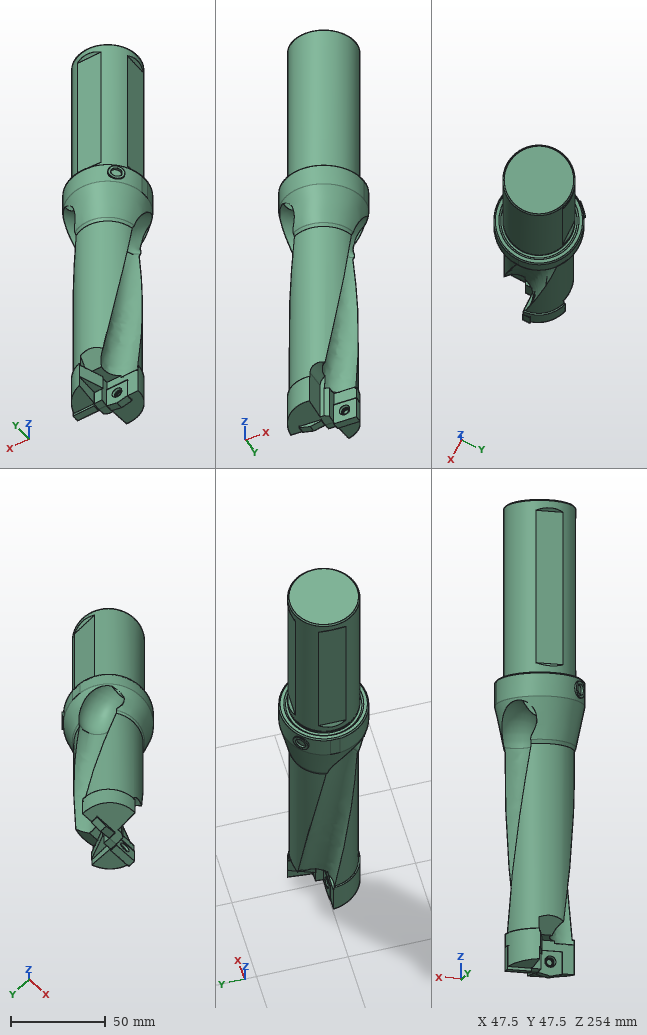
import cadquery as cq
import math

OVERALL_LENGTH = 254.0
CUT_MARGIN = 2.5

SHANK_RADIUS = 19.0
SHANK_CHAMFER = 0.8
FLAT_WIDTH = 15.0
FLAT_BOTTOM = 165.0
FLAT_TOP = 247.9
FLAT_DISTANCE = math.sqrt(SHANK_RADIUS**2 - (FLAT_WIDTH / 2) ** 2)
FLAT_DEPTH = SHANK_RADIUS - FLAT_DISTANCE

COLLAR_DIAMETER = 47.5
COLLAR_RADIUS = COLLAR_DIAMETER / 2
COLLAR_BOTTOM = 145.8
COLLAR_TOP = 159.0
COLLAR_CHAMFER = 0.8
GROOVE_RADIUS = 21.0
GROOVE_DEPTH = 1.0
NECK_RADIUS = 18.5
NECK_TOP = 159.7
MARK_WIDTH = 5.3
MARK_DISTANCE = math.sqrt(COLLAR_RADIUS**2 - (MARK_WIDTH / 2) ** 2)

FLUTED_RADIUS = 18.3
HEAD_DIAMETER = 38.3
HEAD_RADIUS = HEAD_DIAMETER / 2
HEAD_TOP = 20.8
CONE_RADIUS = 19.0
CONE_BOTTOM = 123.5
CONE_FOOT = 121.5
ROOF_RIDGE = 1.8
ROOF_SLOPE = 0.13

FLUTE_DIAMETER = 21.0
FLUTE_RADIUS = FLUTE_DIAMETER / 2
FLUTE_CENTRE = 16.3
FLUTE_TOP = 123.2
FLUTE_TOP_ANGLE = 205.0
TWIST_RATE = 0.5513
RUNOUT_BEND = 10.7
RUNOUT_SWING = 48.0

INSERT_THICKNESS = 4.3
INSERT_TOP = 13.7
INSERT_PROUD = 0.3
OUTER_INSERT_LEFT = 5.8
OUTER_INSERT_BOTTOM = 0.8
INNER_INSERT_LEFT = -12.5
INNER_INSERT_POINT = -5.8
INNER_INSERT_CORNER = 1.5

OUTER_POCKET_TOP = 21.3
OUTER_WALL_RIM = 1.0
OUTER_WALL_FOOT = 3.3
LEDGE_RIM_DEPTH = 6.3
LEDGE_FOOT_DEPTH = 5.0
GULLET_TOP = 30.0
GULLET_CORNER = 6.0

INNER_WALL = 0.0
INNER_POCKET_TOP = 19.3
INNER_WALL_RIM = 5.5
INNER_STEP_HEIGHT = 10.7
INNER_RELIEF_DEPTH = 0.8
INNER_RELIEF_TOP_Y = 4.3
INNER_CEILING_START_Y = 11.0
INNER_CEILING_SLOPE = 1.2

INNER_FLUTE = (FLUTE_TOP_ANGLE, 18.0)
OUTER_FLUTE = (FLUTE_TOP_ANGLE + 180.0, OUTER_POCKET_TOP)

SCREW_HOLE_DIAMETER = 6.0
SCREW_HEAD_DIAMETER = 4.8
SCREW_SHANK_DIAMETER = 4.0
SCREW_SOCKET_DIAMETER = 3.5
SCREW_SOCKET_DEPTH = 1.3
SCREW_LENGTH = 10.2
COUNTERSINK_DEPTH = 2.0
SCREW_HEIGHT = 7.9
OUTER_SCREW_X = 12.2
INNER_SCREW_X = -5.8
OUTER_FACING = -1
INNER_FACING = 1
SCREW_PLACES = ((OUTER_SCREW_X, OUTER_FACING), (INNER_SCREW_X, INNER_FACING))

PLUG_DIAMETER = 9.1
PLUG_FACE = 24.5
PLUG_DEPTH = 5.0
PLUG_ANGLE = 135.0
PLUG_SOCKET_DIAMETER = 6.0
PLUG_SOCKET_DEPTH = 1.3
PLUG_HEIGHT = (COLLAR_BOTTOM + COLLAR_TOP) / 2


def turned_blank():
    """Shank, collar, cone, fluted length and head as one turned profile."""
    profile = [
        (0, 0),
        (HEAD_RADIUS, 0),
        (HEAD_RADIUS, HEAD_TOP),
        (FLUTED_RADIUS, HEAD_TOP),
        (FLUTED_RADIUS, CONE_FOOT),
        (CONE_RADIUS, CONE_BOTTOM),
        (COLLAR_RADIUS, COLLAR_BOTTOM),
        (COLLAR_RADIUS, COLLAR_TOP - COLLAR_CHAMFER),
        (COLLAR_RADIUS - COLLAR_CHAMFER, COLLAR_TOP),
        (GROOVE_RADIUS, COLLAR_TOP),
        (GROOVE_RADIUS - GROOVE_DEPTH, COLLAR_TOP - GROOVE_DEPTH),
        (NECK_RADIUS, COLLAR_TOP - GROOVE_DEPTH),
        (NECK_RADIUS, NECK_TOP),
        (SHANK_RADIUS, NECK_TOP),
        (SHANK_RADIUS, OVERALL_LENGTH - SHANK_CHAMFER),
        (SHANK_RADIUS - SHANK_CHAMFER, OVERALL_LENGTH),
        (0, OVERALL_LENGTH),
    ]
    return cq.Workplane("XZ").polyline(profile).close().revolve(360, (0, 0), (0, 1))


def shank_flat_cutter():
    """Flat on the -X side whose two ends slope out at 45 degrees."""
    reach = FLAT_DEPTH + CUT_MARGIN
    profile = [
        (-FLAT_DISTANCE, FLAT_BOTTOM),
        (-FLAT_DISTANCE, FLAT_TOP),
        (-FLAT_DISTANCE - reach, FLAT_TOP + reach),
        (-FLAT_DISTANCE - reach, FLAT_BOTTOM - reach),
    ]
    return cq.Workplane("XZ").polyline(profile).close().extrude(SHANK_RADIUS, both=True)


def collar_mark_cutter():
    """Narrow flat over the height of the collar, on the -X side."""
    height = COLLAR_TOP - COLLAR_BOTTOM
    return (
        cq.Workplane("XY", origin=(-MARK_DISTANCE, 0, COLLAR_BOTTOM))
        .rect(2 * CUT_MARGIN, 2 * MARK_WIDTH)
        .extrude(height)
        .translate((-CUT_MARGIN, 0, 0))
    )


def flute_helix(top_angle, bottom):
    """Helical part of a flute, from height bottom up to top_angle around the axis."""
    length = FLUTE_TOP - bottom
    twist = length * TWIST_RATE
    helix = (
        cq.Workplane("XY", origin=(0, 0, bottom))
        .moveTo(FLUTE_CENTRE, 0)
        .circle(FLUTE_RADIUS)
        .twistExtrude(length, twist)
    )
    return helix.rotate((0, 0, 0), (0, 0, 1), top_angle - twist)


def flute_runout(top_angle):
    """Quarter bend that carries the flute out through the cone, swung past the radial direction."""
    bend = (
        cq.Workplane("XY", origin=(FLUTE_CENTRE, 0, FLUTE_TOP))
        .circle(FLUTE_RADIUS)
        .revolve(90, (RUNOUT_BEND, 0), (RUNOUT_BEND, 1))
    )
    bend = bend.rotate((FLUTE_CENTRE, 0, 0), (FLUTE_CENTRE, 0, 1), RUNOUT_SWING)
    return bend.rotate((0, 0, 0), (0, 0, 1), top_angle)


def roof_cutter():
    """Everything below the shallow roof that closes the head."""
    reach = HEAD_RADIUS + CUT_MARGIN
    eave = ROOF_RIDGE + ROOF_SLOPE * reach
    profile = [(-reach, -reach), (reach, -reach), (reach, eave), (0, ROOF_RIDGE), (-reach, eave)]
    return cq.Workplane("YZ").polyline(profile).close().extrude(reach, both=True)


def outer_pocket_cutter():
    """Pocket in front of the outer insert: leaning wall, ledge and flat floor."""
    reach = HEAD_RADIUS + CUT_MARGIN
    outline = [
        (OUTER_WALL_RIM, -reach),
        (OUTER_WALL_RIM, -HEAD_RADIUS),
        (OUTER_WALL_FOOT, -LEDGE_RIM_DEPTH),
        (OUTER_INSERT_LEFT, -LEDGE_FOOT_DEPTH),
        (OUTER_INSERT_LEFT, INSERT_PROUD),
        (reach, INSERT_PROUD),
        (reach, -reach),
    ]
    return cq.Workplane("XY").polyline(outline).close().extrude(OUTER_POCKET_TOP)


def gullet_cutter():
    """Round-cornered gullet that joins the outer pocket to its flute."""
    reach = HEAD_RADIUS + CUT_MARGIN
    return (
        cq.Workplane("XZ", origin=(0, -LEDGE_RIM_DEPTH, 0))
        .moveTo(OUTER_WALL_RIM, 0)
        .lineTo(OUTER_WALL_RIM, GULLET_TOP - GULLET_CORNER)
        .radiusArc((OUTER_WALL_RIM + GULLET_CORNER, GULLET_TOP), GULLET_CORNER)
        .lineTo(reach, GULLET_TOP)
        .lineTo(reach, 0)
        .close()
        .extrude(reach)
    )


def inner_pocket_cutter():
    """Pocket behind the inner insert: stepped near the axis, then leaning out to the rim."""
    reach = HEAD_RADIUS + CUT_MARGIN
    relief = INNER_WALL + INNER_RELIEF_DEPTH
    outline = [
        (-reach, -INSERT_PROUD),
        (relief, -INSERT_PROUD),
        (relief, INNER_RELIEF_TOP_Y),
        (INNER_WALL, INNER_RELIEF_TOP_Y),
        (INNER_WALL_RIM, HEAD_RADIUS),
        (INNER_WALL_RIM, reach),
        (-reach, reach),
    ]
    return cq.Workplane("XY").polyline(outline).close().extrude(INNER_POCKET_TOP)


def inner_step_cutter():
    """Square step in the lower part of the inner wall."""
    reach = HEAD_RADIUS + CUT_MARGIN
    return (
        cq.Workplane("XY")
        .moveTo(INNER_WALL, INNER_RELIEF_TOP_Y)
        .lineTo(INNER_WALL_RIM, INNER_RELIEF_TOP_Y)
        .lineTo(INNER_WALL_RIM, reach)
        .lineTo(INNER_WALL, reach)
        .close()
        .extrude(INNER_STEP_HEIGHT)
    )


def inner_ceiling_cutter():
    """Slope that raises the ceiling of the inner pocket toward the +Y rim."""
    reach = HEAD_RADIUS + CUT_MARGIN
    rim_height = INNER_POCKET_TOP + INNER_CEILING_SLOPE * (reach - INNER_CEILING_START_Y)
    profile = [
        (INNER_CEILING_START_Y, INNER_POCKET_TOP),
        (reach, rim_height),
        (reach, INNER_POCKET_TOP),
    ]
    return cq.Workplane("YZ", origin=(INNER_WALL_RIM, 0, 0)).polyline(profile).close().extrude(-reach)


def outer_insert_blank():
    """Square plate whose cutting face lies on the XZ plane and looks toward -Y."""
    outline = [
        (OUTER_INSERT_LEFT, OUTER_INSERT_BOTTOM),
        (HEAD_RADIUS, OUTER_INSERT_BOTTOM),
        (HEAD_RADIUS, INSERT_TOP),
        (OUTER_INSERT_LEFT, INSERT_TOP),
    ]
    return cq.Workplane("XZ").polyline(outline).close().extrude(-INSERT_THICKNESS)


def inner_insert_blank():
    """Plate with a pointed lower edge; its cutting face looks toward +Y."""
    inner_end = INNER_WALL + INNER_RELIEF_DEPTH
    outline = [
        (INNER_INSERT_LEFT, INNER_INSERT_CORNER),
        (INNER_INSERT_POINT, 0),
        (inner_end, INNER_INSERT_CORNER),
        (inner_end, INSERT_TOP),
        (INNER_INSERT_LEFT, INSERT_TOP),
    ]
    return cq.Workplane("XZ").polyline(outline).close().extrude(INSERT_THICKNESS)


def screw_profile(head_diameter, depth_below_face):
    """Countersunk screw along local Z, entering a face at Z = 0 in the -Z direction."""
    cone_foot = -COUNTERSINK_DEPTH
    profile = [
        (0, -depth_below_face),
        (head_diameter / 2, -depth_below_face),
        (SCREW_SHANK_DIAMETER / 2, cone_foot),
        (SCREW_SHANK_DIAMETER / 2, -SCREW_LENGTH),
        (0, -SCREW_LENGTH),
    ]
    return cq.Workplane("XZ").polyline(profile).close().revolve(360, (0, 0), (0, 1))


def placed_in_insert(tool, x, facing):
    """Turn a tool from local Z to face -Y (facing = -1) or +Y (facing = 1) and move it to x."""
    return tool.rotate((0, 0, 0), (1, 0, 0), -90 * facing).translate((x, 0, SCREW_HEIGHT))


def screw_hole(x, facing):
    """Countersunk hole that starts at the cutting face of an insert."""
    return placed_in_insert(screw_profile(SCREW_HOLE_DIAMETER, 0), x, facing)


def insert_screw(x, facing):
    """Screw sunk in the countersink, with a round socket in its head."""
    taper = (SCREW_HOLE_DIAMETER - SCREW_HEAD_DIAMETER) / (SCREW_HOLE_DIAMETER - SCREW_SHANK_DIAMETER)
    head_depth = taper * COUNTERSINK_DEPTH
    socket = (
        cq.Workplane("XY", origin=(0, 0, -head_depth))
        .circle(SCREW_SOCKET_DIAMETER / 2)
        .extrude(-SCREW_SOCKET_DEPTH)
    )
    screw = screw_profile(SCREW_HEAD_DIAMETER, head_depth).cut(socket)
    return placed_in_insert(screw, x, facing)


def plug_blank():
    """Cylinder that sits in the collar and stands a little out of it."""
    blank = (
        cq.Workplane("YZ", origin=(PLUG_FACE - PLUG_DEPTH, 0, PLUG_HEIGHT))
        .circle(PLUG_DIAMETER / 2)
        .extrude(PLUG_DEPTH)
    )
    return blank.rotate((0, 0, 0), (0, 0, 1), PLUG_ANGLE)


def collar_plug():
    """Plug with a round blind socket in its outer end."""
    socket = (
        cq.Workplane("YZ", origin=(PLUG_FACE, 0, PLUG_HEIGHT))
        .circle(PLUG_SOCKET_DIAMETER / 2)
        .extrude(-PLUG_SOCKET_DEPTH)
    )
    return plug_blank().cut(socket.rotate((0, 0, 0), (0, 0, 1), PLUG_ANGLE))


def drill_body():
    """Turned blank with flats, flutes, pockets and seats for every other body."""
    body = turned_blank()
    body = body.cut(shank_flat_cutter())
    body = body.cut(shank_flat_cutter().rotate((0, 0, 0), (0, 0, 1), -90))
    body = body.cut(collar_mark_cutter())
    for top_angle, bottom in (INNER_FLUTE, OUTER_FLUTE):
        body = body.cut(flute_helix(top_angle, bottom)).cut(flute_runout(top_angle))
    body = body.cut(roof_cutter())
    body = body.cut(outer_pocket_cutter()).cut(gullet_cutter())
    body = body.cut(inner_pocket_cutter()).cut(inner_step_cutter()).cut(inner_ceiling_cutter())
    body = body.cut(outer_insert_blank()).cut(inner_insert_blank())
    for x, facing in SCREW_PLACES:
        body = body.cut(screw_hole(x, facing))
    return body.cut(plug_blank())


body = drill_body()
outer_insert = outer_insert_blank().cut(screw_hole(OUTER_SCREW_X, OUTER_FACING))
inner_insert = inner_insert_blank().cut(screw_hole(INNER_SCREW_X, INNER_FACING))
screws = [insert_screw(x, facing) for x, facing in SCREW_PLACES]
plug = collar_plug()

result = cq.Compound.makeCompound(
    [
        body.solids().val(),
        outer_insert.solids().val(),
        inner_insert.solids().val(),
        *[screw.solids().val() for screw in screws],
        plug.solids().val(),
    ]
)